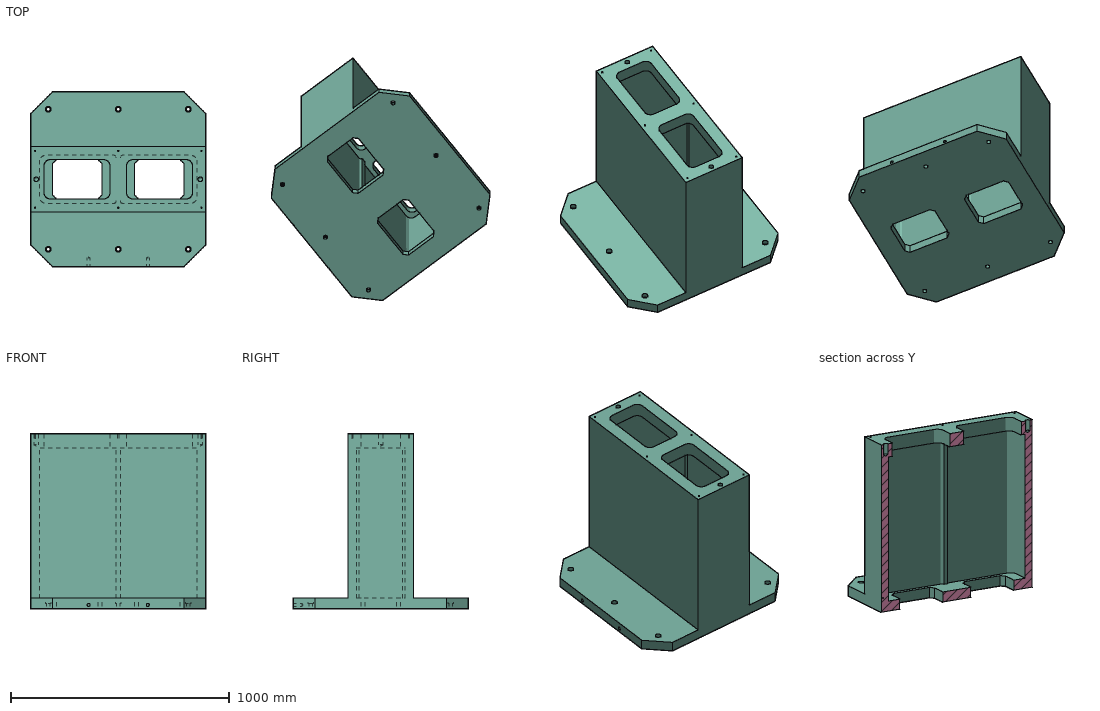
import cadquery as cq
import math

base_size = 800
base_thickness = 50
base_corner_chamfer = 100

column_length = base_size
column_width = 300
total_height = 800

top_wall = 65
window_length = 302.5
window_width = 180
window_corner_radius = 30
window_centre_x = 188.75

side_wall = 40
chamber_corner_radius = 30
rib_thickness = 20
rib_fillet = 10
chamber_width = column_width - 2 * side_wall
chamber_height = total_height - top_wall - base_thickness
rib_opening_width = chamber_width - 2 * rib_fillet

floor_opening_length = 225
floor_opening_width = window_width
floor_opening_chamfer = 18
floor_opening_centre_x = 187.5

mount_pitch = 320
mount_hole = 18
mount_counterbore = 26
mount_counterbore_depth = base_thickness / 2

end_hole = 21
end_hole_depth = 50
end_hole_x = 375
cover_hole = 5
cover_hole_depth = 20
cover_hole_x = 380
cover_hole_y = 130

edge_hole = 14
edge_hole_depth = 40
edge_hole_x = 135
edge_hole_z = 18

drill_point_angle = 118

cut_overlap = 1
sides = (-1, 1)
full_turn = 360
quarter_turn = full_turn / 4


def base_plate():
    plate = cq.Workplane("XY").box(base_size, base_size, base_thickness, centered=(True, True, False))
    return plate.edges("|Z").chamfer(base_corner_chamfer)


def column():
    return cq.Workplane("XY").box(column_length, column_width, total_height, centered=(True, True, False))


def chamber(side):
    """Space between the middle rib and one end wall of the column."""
    outer_x = column_length / 2 - side_wall
    inner_x = rib_thickness / 2
    length = outer_x - inner_x
    centre_x = side * (outer_x + inner_x) / 2
    block = (
        cq.Workplane("XY", origin=(centre_x, 0, base_thickness))
        .box(length, chamber_width, chamber_height, centered=(True, True, False))
    )
    outer_face, inner_face = ("<X", ">X") if side < 0 else (">X", "<X")
    block = block.faces(outer_face).edges("|Z").fillet(chamber_corner_radius)
    return block.faces(inner_face).edges("|Z").fillet(rib_fillet)


def rib_opening():
    """Passage through the middle rib that joins both chambers."""
    length = rib_thickness + 2 * rib_fillet
    return (
        cq.Workplane("XY", origin=(0, 0, base_thickness))
        .box(length, rib_opening_width, chamber_height, centered=(True, True, False))
    )


def top_windows():
    return (
        cq.Workplane("XY", origin=(0, 0, total_height - top_wall))
        .pushPoints([(side * window_centre_x, 0) for side in sides])
        .rect(window_length, window_width)
        .extrude(top_wall + cut_overlap)
        .edges("|Z")
        .fillet(window_corner_radius)
    )


def floor_openings():
    return (
        cq.Workplane("XY", origin=(0, 0, -cut_overlap))
        .pushPoints([(side * floor_opening_centre_x, 0) for side in sides])
        .rect(floor_opening_length, floor_opening_width)
        .extrude(base_thickness + 2 * cut_overlap)
        .edges("|Z")
        .chamfer(floor_opening_chamfer)
    )


def drill_mounting_holes(body):
    points = [(x * mount_pitch, y * mount_pitch) for x in (-1, 0, 1) for y in sides]
    return (
        body.copyWorkplane(cq.Workplane("XY", origin=(0, 0, base_thickness)))
        .pushPoints(points)
        .cboreHole(mount_hole, mount_counterbore, mount_counterbore_depth, base_thickness)
    )


def drilled_hole(diameter, depth):
    """Upright drill shape: its mouth is at the origin and a cone closes its lower end."""
    radius = diameter / 2
    point_depth = radius / math.tan(math.radians(drill_point_angle / 2))
    return (
        cq.Workplane("XZ")
        .moveTo(0, cut_overlap)
        .lineTo(radius, cut_overlap)
        .lineTo(radius, -depth)
        .lineTo(0, -depth - point_depth)
        .close()
        .revolve(full_turn, (0, 0, 0), (0, 1, 0))
    )


def drill_top_holes(body):
    end_drill = drilled_hole(end_hole, end_hole_depth)
    cover_drill = drilled_hole(cover_hole, cover_hole_depth)
    for side in sides:
        body = body.cut(end_drill.translate((side * end_hole_x, 0, total_height)))
        for x in (-cover_hole_x, 0, cover_hole_x):
            body = body.cut(cover_drill.translate((x, side * cover_hole_y, total_height)))
    return body


def drill_edge_holes(body):
    drill = drilled_hole(edge_hole, edge_hole_depth).rotate((0, 0, 0), (1, 0, 0), quarter_turn)
    for side in sides:
        body = body.cut(drill.translate((side * edge_hole_x, -base_size / 2, edge_hole_z)))
    return body


body = base_plate().union(column())
for side in sides:
    body = body.cut(chamber(side))
body = body.cut(rib_opening()).cut(top_windows()).cut(floor_openings())
body = drill_mounting_holes(body)
body = drill_top_holes(body)
result = drill_edge_holes(body)